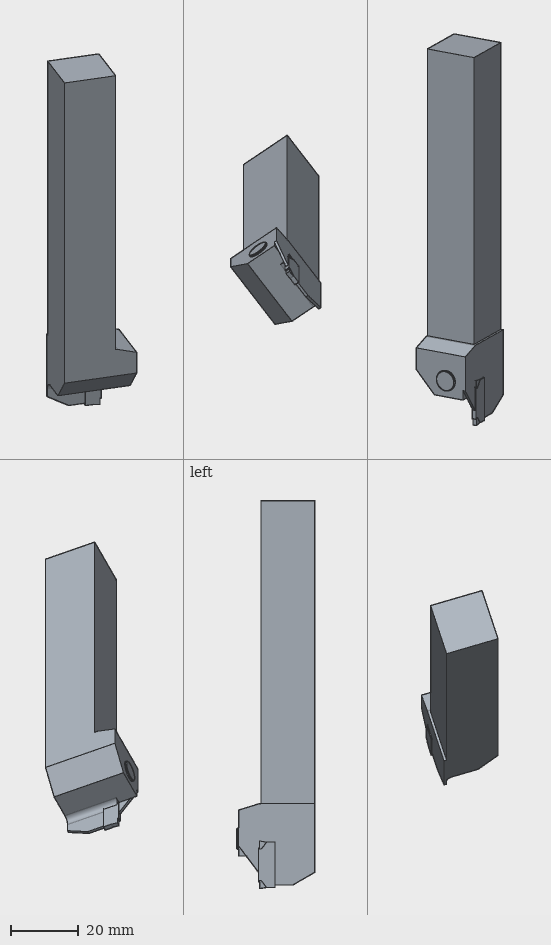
import cadquery as cq

total_length = 114.3
shank_size = 15.9

head_side = -16.7
head_depth = 22.4
block_bottom = 9.6
shoulder_z = 25.0
shoulder_end_y = 16.5
shoulder_low_z = 23.2
chamfer_width = 6.2
chamfer_top = 16.5
root_fillet = 2.0

blade_inner = -15.9
blade_bottom = 1.0
blade_corner_y = 6.5
blade_corner_z = 4.8
relief_top = 12.6
relief_bottom = 4.8

screw_diameter = 6.3
screw_height = 0.6
screw_chamfer = 0.2
screw_x = -10.2
screw_z = 14.7

insert_side = -17.0
insert_inner = -15.7
insert_back = 11.7
insert_front = 16.6
rake_y = 16.2
tip_height = 14.1
flank_drop = 0.3
flank_end_y = 14.2
rake_length = 2.1
facet_inner_y = 15.8
facet_length = 2.4
facet_depth = 0.1
insert_middle = tip_height / 2


def prism_x(points, x_start, x_end):
    """Extrude a (Y, Z) outline between two X positions."""
    return cq.Workplane("YZ").workplane(offset=x_start).polyline(points).close().extrude(x_end - x_start)


def mirrored(solid):
    """Copy a feature to the other end of the insert."""
    return solid.mirror("XY", (0, 0, insert_middle))


def make_insert_blank():
    upper_end = [
        (insert_front, tip_height - rake_length),
        (rake_y, tip_height - rake_length),
        (rake_y, tip_height),
        (flank_end_y, tip_height - flank_drop),
        (insert_back, tip_height - flank_drop),
    ]
    lower_end = [(y, tip_height - z) for y, z in reversed(upper_end)]
    return prism_x(upper_end + lower_end, insert_side, insert_inner)


def make_insert():
    facet = prism_x(
        [
            (insert_front, tip_height - facet_length),
            (facet_inner_y, tip_height - facet_length),
            (flank_end_y, tip_height - flank_drop),
            (flank_end_y, tip_height),
            (insert_front, tip_height),
        ],
        insert_side,
        insert_side + facet_depth,
    )
    return make_insert_blank().cut(facet).cut(mirrored(facet))


def make_shank():
    height = total_length - shoulder_z
    return cq.Workplane("XY").box(shank_size, shank_size, height, centered=False).translate(
        (-shank_size, 0, shoulder_z)
    )


def make_head():
    section = (
        cq.Workplane("XZ")
        .moveTo(0, shoulder_z)
        .lineTo(head_side, shoulder_z)
        .lineTo(head_side, blade_bottom)
        .lineTo(blade_inner, blade_bottom)
        .lineTo(blade_inner, block_bottom - root_fillet)
        .radiusArc((blade_inner + root_fillet, block_bottom), root_fillet)
        .lineTo(-chamfer_width, block_bottom)
        .lineTo(0, chamfer_top)
        .close()
        .extrude(-head_depth)
    )
    block_outline = [
        (0, shoulder_z),
        (shoulder_end_y, shoulder_z),
        (head_depth, shoulder_low_z),
        (head_depth, block_bottom),
        (insert_front, block_bottom),
        (insert_back, blade_bottom),
        (blade_corner_y, blade_bottom),
        (0, blade_corner_z),
    ]
    blade_outline = [
        (0, shoulder_z),
        (shoulder_end_y, shoulder_z),
        (head_depth, shoulder_low_z),
        (head_depth, relief_top),
        (insert_front, relief_bottom),
        (insert_back, relief_bottom),
        (insert_back, blade_bottom),
        (blade_corner_y, blade_bottom),
        (0, blade_corner_z),
    ]
    block = prism_x(block_outline, blade_inner, 0)
    blade = prism_x(blade_outline, head_side, blade_inner)
    return section.intersect(block.union(blade))


def make_screw_head():
    return (
        cq.Workplane("XZ", origin=(screw_x, head_depth, screw_z))
        .circle(screw_diameter / 2)
        .extrude(-screw_height)
        .faces(">Y")
        .chamfer(screw_chamfer)
    )


insert = make_insert()
holder = make_head().union(make_shank()).union(make_screw_head()).cut(make_insert_blank())

result = cq.Compound.makeCompound([*holder.solids().vals(), *insert.solids().vals()])